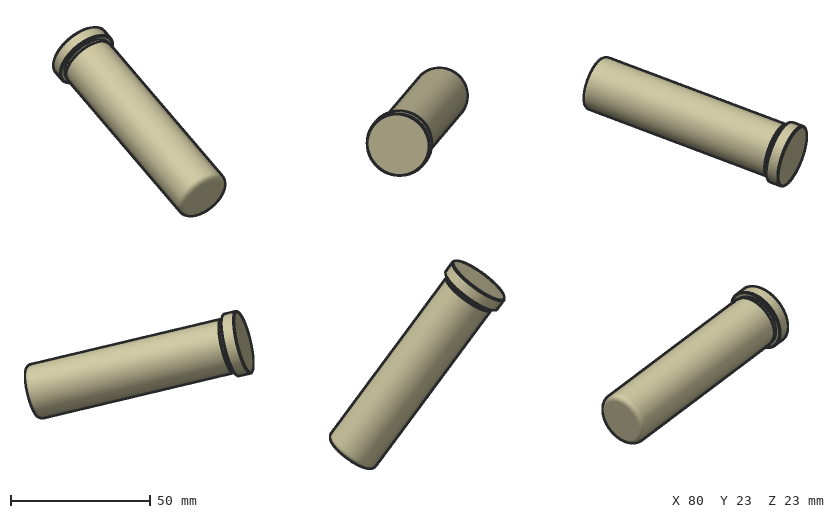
import cadquery as cq

total_length = 80.0
head_diameter = 23.0
head_length = 5.0
head_chamfer = 0.3
shank_diameter = 20.0
groove_diameter = 19.5
groove_width = 1.4
groove_chamfer = (shank_diameter - groove_diameter) / 2
tip_radius = 2.0


def cylinder(diameter, start, end):
    """Solid cylinder about the X axis between two X positions."""
    return cq.Workplane("YZ").workplane(offset=start).circle(diameter / 2).extrude(end - start)


head = cylinder(head_diameter, 0, head_length).edges().chamfer(head_chamfer)

groove_end = head_length + groove_width
neck = cylinder(groove_diameter, head_length, groove_end)

shank = (
    cylinder(shank_diameter, groove_end - groove_chamfer, total_length)
    .faces(">X").edges().fillet(tip_radius)
    .faces("<X").edges().chamfer(groove_chamfer)
)

result = head.union(neck).union(shank)